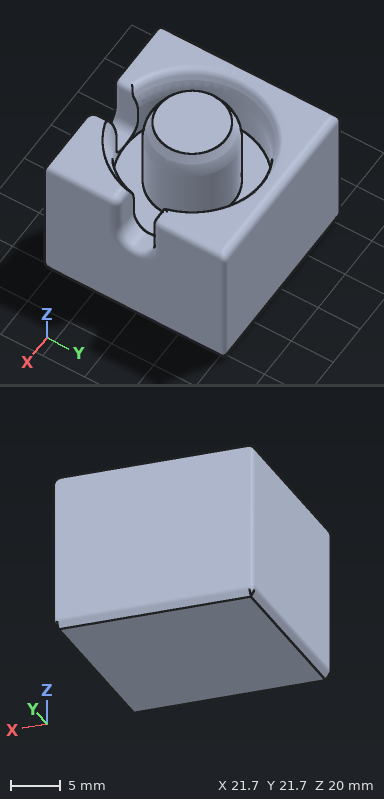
import cadquery as cq
import math

side = 21.7
total_height = 20.0
edge_round = 1.0
post_rise = 3.0
block_height = total_height - post_rise
corner_round = edge_round / 2

bevel_angle = math.radians(30)
base_bevel = edge_round / 2
base_bevel_round = edge_round

pocket_radius = 8.0
pocket_bevel = edge_round
post_radius = 5.0
post_bevel = edge_round
bevel_round = 3 * edge_round

slot_radius = 2.0
slot_center_height = 12.5
slot_bottom = slot_center_height - slot_radius
floor_height = slot_bottom


def bevel_height(width):
    return width / math.tan(bevel_angle)


foot_height = bevel_height(base_bevel) + base_bevel_round * math.tan(bevel_angle / 2)


def turned(points):
    """Revolve a closed (radius, height) outline about the Z axis."""
    return cq.Workplane("XZ").polyline(points).close().revolve(360, (0, 0), (0, 1))


def ring_at(height, radius):
    """Select the circular edges near one radius and height."""
    reach = radius + 0.02
    return cq.selectors.BoxSelector(
        (-reach, -reach, height - 0.02), (reach, reach, height + 0.02), boundingbox=True
    )


def foot_outline(reach):
    """Rim section of the foot on XZ, bevelled and blended out to the given reach."""
    blend_start = (
        reach - base_bevel_round * (1 - math.cos(bevel_angle)),
        foot_height - base_bevel_round * math.sin(bevel_angle),
    )
    blend_mid = (
        reach - base_bevel_round * (1 - math.cos(bevel_angle / 2)),
        foot_height - base_bevel_round * math.sin(bevel_angle / 2),
    )
    return (
        cq.Workplane("XZ")
        .moveTo(reach - base_bevel, 0)
        .lineTo(*blend_start)
        .threePointArc(blend_mid, (reach, foot_height))
        .lineTo(reach - base_bevel, foot_height)
        .close()
    )


def make_foot():
    """Bevelled foot: a square core, one wedge for each wall and a turned piece for each corner."""
    corner_offset = side / 2 - corner_round
    core_side = side - 2 * base_bevel
    wedge = foot_outline(side / 2).extrude(corner_offset, both=True)
    corner = foot_outline(corner_round).revolve(360, (0, 0), (0, 1))
    corner = corner.translate((corner_offset, corner_offset, 0))
    foot = cq.Workplane("XY").box(core_side, core_side, foot_height, centered=(True, True, False))
    for turn in (0, 90, 180, 270):
        for piece in (wedge, corner):
            foot = foot.union(piece.rotate((0, 0, 0), (0, 0, 1), turn))
    return foot


def make_slot():
    """Round-bottomed channel running from the centre out through the front wall."""
    straight_height = block_height - slot_center_height
    return (
        cq.Workplane("XZ")
        .moveTo(-slot_radius, slot_center_height)
        .threePointArc((0, slot_bottom), (slot_radius, slot_center_height))
        .line(0, straight_height)
        .line(-2 * slot_radius, 0)
        .close()
        .extrude(side)
    )


def make_pocket():
    """Pocket cutter that flares out to a conical mouth."""
    rise = bevel_height(pocket_bevel)
    shoulder = block_height - rise
    mouth_radius = pocket_radius + pocket_bevel
    pocket = turned([
        (0, floor_height),
        (pocket_radius, floor_height),
        (pocket_radius, shoulder),
        (mouth_radius, block_height),
        (0, block_height),
    ])
    return pocket.edges(ring_at(shoulder, pocket_radius)).fillet(bevel_round)


def make_lip():
    """Cutter rounding the pocket mouth, except on the corner between the slots."""
    mouth_radius = pocket_radius + pocket_bevel
    lip_radius = mouth_radius + edge_round * math.tan(bevel_angle)
    mid_angle = (math.pi / 2 + bevel_angle) / 2

    def arc_point(angle):
        radius = lip_radius - edge_round * math.cos(angle)
        return radius, block_height - edge_round * (1 - math.sin(angle))

    return (
        cq.Workplane("XZ")
        .moveTo(mouth_radius, block_height)
        .lineTo(*arc_point(bevel_angle))
        .threePointArc(arc_point(mid_angle), (lip_radius, block_height))
        .close()
        .revolve(270, (0, 0), (0, 1))
    )


def make_post():
    """Central post with a bevelled, blended tip."""
    rise = bevel_height(post_bevel)
    shoulder = total_height - rise
    post = turned([
        (0, floor_height),
        (post_radius, floor_height),
        (post_radius, shoulder),
        (post_radius - post_bevel, total_height),
        (0, total_height),
    ])
    return post.edges(ring_at(shoulder, post_radius)).fillet(bevel_round)


front_slot = make_slot()
side_slot = front_slot.rotate((0, 0, 0), (0, 0, 1), 90)

block = (
    cq.Workplane("XY")
    .workplane(offset=foot_height)
    .box(side, side, block_height - foot_height, centered=(True, True, False))
)
body = block.cut(front_slot).cut(side_slot)

upper_box = cq.selectors.BoxSelector(
    (-side, -side, slot_bottom - 0.22), (side, side, total_height), boundingbox=True
)
outer_slot_edges = body.faces("<Y or >X").edges(upper_box)
body = body.faces(">Z").edges().add(outer_slot_edges).fillet(edge_round)

corner_reach = side / 2 - edge_round - 0.22
middle_height = block_height / 2
for x_sign in (-1, 1):
    for y_sign in (-1, 1):
        corner_box = cq.selectors.BoxSelector(
            (x_sign * corner_reach, y_sign * corner_reach, middle_height - edge_round),
            (x_sign * side, y_sign * side, middle_height + edge_round),
        )
        body = body.edges("|Z").edges(corner_box).fillet(corner_round)

body = body.union(make_foot())
result = body.cut(make_pocket()).cut(make_lip()).union(make_post())